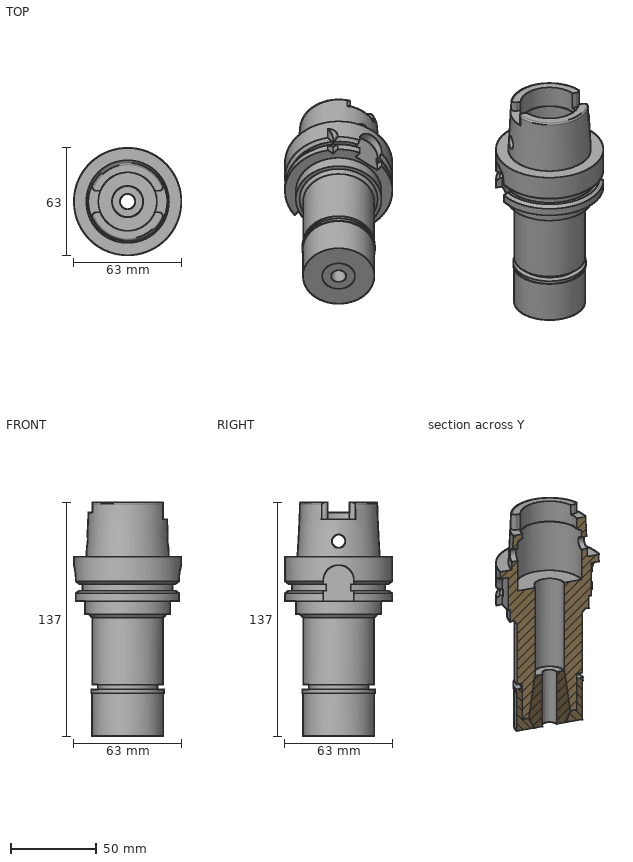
import cadquery as cq
import math


total_height = 137.0
taper_length = 31.9
flange_z = total_height - taper_length
flange_height = 26.0
flange_bottom_z = flange_z - flange_height
neck_height = 7.7
neck_bottom_z = flange_bottom_z - neck_height
body_bottom_z = 30.1
nut_top_z = 27.3
nut_collar_height = 2.0
nose_bottom_z = 6.8

taper_base_radius = 24.2
taper_top_radius = 22.7
rim_round = 1.0
bore_radius = 17.1
undercut_radius = 20.1
undercut_depth = 13.0
undercut_angle = 60.0
bore_floor_drop = 14.2
bore_floor_z = flange_z - bore_floor_drop
passage_radius = 9.0
cross_hole_radius = 3.8
cross_hole_height = 9.0

drive_slot_half_width = 6.3
drive_slot_corner_radius = 2.5
shallow_drive_slot_depth = 6.0
deep_drive_slot_depth = 10.0

flange_radius = 31.5
groove_radius = 27.4
groove_shoulder_radius = 29.3
groove_height = 3.8
groove_chamfer_height = 1.6
lower_rim_height = 6.2
groove_bottom_z = flange_bottom_z + lower_rim_height
groove_top_z = groove_bottom_z + groove_height

flange_slot_drop = 5.0
flange_slot_floor = 26.5
left_slot_width = 16.2
right_slot_width = 18.0
notch_floor = 20.3
notch_wall_y = 20.0

neck_radius = 25.1
neck_cone_radius = 22.9
body_radius = 20.8
nose_radius = 17.5

nut_radius = 21.0
nut_collar_radius = 21.4

collet_top_z = 34.0
collet_large_radius = 13.0
collet_seat_angle = 8.0
collet_face_radius = 9.6
collet_bore_radius = 4.4
collet_top_radius = collet_large_radius - (collet_top_z - nose_bottom_z) * math.tan(
    math.radians(collet_seat_angle)
)


def revolve_z(profile):
    """Turn a closed (radius, Z) profile about the Z axis."""
    return profile.close().revolve(360, (0, 0, 0), (0, 1, 0))


def holder_outside():
    """Taper with a rounded rim, grooved flange, neck with a 45 degree cone, body and nose."""
    neck_cone_height = neck_cone_radius - body_radius
    rim_arc_shift = rim_round * (1 - math.sqrt(0.5))
    return revolve_z(
        cq.Workplane("XZ")
        .moveTo(0, total_height)
        .lineTo(taper_top_radius - rim_round, total_height)
        .threePointArc(
            (taper_top_radius - rim_arc_shift, total_height - rim_arc_shift),
            (taper_top_radius, total_height - rim_round),
        )
        .lineTo(taper_base_radius, flange_z)
        .lineTo(flange_radius, flange_z)
        .lineTo(flange_radius, groove_top_z + groove_chamfer_height)
        .lineTo(groove_shoulder_radius, groove_top_z)
        .lineTo(groove_radius, groove_top_z)
        .lineTo(groove_radius, groove_bottom_z)
        .lineTo(groove_shoulder_radius, groove_bottom_z)
        .lineTo(flange_radius, groove_bottom_z - groove_chamfer_height)
        .lineTo(flange_radius, flange_bottom_z)
        .lineTo(neck_radius, flange_bottom_z)
        .lineTo(neck_radius, neck_bottom_z)
        .lineTo(neck_cone_radius, neck_bottom_z)
        .lineTo(body_radius, neck_bottom_z - neck_cone_height)
        .lineTo(body_radius, body_bottom_z)
        .lineTo(nose_radius, body_bottom_z)
        .lineTo(nose_radius, nose_bottom_z)
        .lineTo(0, nose_bottom_z)
    )


def holder_cavity():
    """Undercut clamping bore, coolant passage and conical collet seat."""
    undercut_top_z = total_height - undercut_depth
    undercut_run = (undercut_radius - bore_radius) / math.tan(math.radians(undercut_angle))
    return revolve_z(
        cq.Workplane("XZ")
        .moveTo(0, total_height)
        .lineTo(bore_radius, total_height)
        .lineTo(bore_radius, undercut_top_z)
        .lineTo(undercut_radius, undercut_top_z - undercut_run)
        .lineTo(undercut_radius, bore_floor_z)
        .lineTo(passage_radius, bore_floor_z)
        .lineTo(passage_radius, collet_top_z)
        .lineTo(collet_top_radius, collet_top_z)
        .lineTo(collet_large_radius, nose_bottom_z)
        .lineTo(0, nose_bottom_z)
    )


def drive_slot(side, depth):
    """Slot through the rim on the side +1 or -1 of X; its mouth rounds out into the taper."""
    arc_center_y = drive_slot_half_width + drive_slot_corner_radius
    arc_center_reach = taper_top_radius - drive_slot_corner_radius
    arc_center_x = math.sqrt(arc_center_reach**2 - arc_center_y**2)
    end_angle = math.atan2(arc_center_y, arc_center_x)
    middle_angle = (end_angle - math.pi / 2) / 2

    def arc_point(angle):
        return (
            arc_center_x + drive_slot_corner_radius * math.cos(angle),
            arc_center_y + drive_slot_corner_radius * math.sin(angle),
        )

    def on_side(x, y, mirror=1):
        return (side * x, mirror * y)

    arc_middle = arc_point(middle_angle)
    arc_end = arc_point(end_angle)
    mouth = (flange_radius * math.cos(end_angle), flange_radius * math.sin(end_angle))
    return (
        cq.Workplane("XY", origin=(0, 0, total_height - depth))
        .moveTo(*on_side(0, drive_slot_half_width))
        .lineTo(*on_side(arc_center_x, drive_slot_half_width))
        .threePointArc(on_side(*arc_middle), on_side(*arc_end))
        .lineTo(*on_side(*mouth))
        .lineTo(*on_side(*mouth, mirror=-1))
        .lineTo(*on_side(*arc_end, mirror=-1))
        .threePointArc(
            on_side(*arc_middle, mirror=-1),
            on_side(arc_center_x, drive_slot_half_width, mirror=-1),
        )
        .lineTo(*on_side(0, drive_slot_half_width, mirror=-1))
        .close()
        .extrude(depth)
    )


def flange_slot(side, floor, width, center_y=0.0):
    """Round-topped slot cut along X into the flange, open at the flange bottom."""
    radius = width / 2
    crown_z = flange_z - flange_slot_drop
    arc_center_z = crown_z - radius
    return (
        cq.Workplane("YZ", origin=(side * floor, 0, 0))
        .moveTo(center_y - radius, flange_bottom_z)
        .lineTo(center_y - radius, arc_center_z)
        .threePointArc((center_y, crown_z), (center_y + radius, arc_center_z))
        .lineTo(center_y + radius, flange_bottom_z)
        .close()
        .extrude(side * flange_radius)
    )


def make_holder():
    """Turned body with its cavity, drive slots, cross hole, flange slots and index notch."""
    cross_hole = (
        cq.Workplane("YZ")
        .center(0, flange_z + cross_hole_height)
        .circle(cross_hole_radius)
        .extrude(flange_radius, both=True)
    )
    notch_center_y = notch_wall_y + left_slot_width / 2
    return (
        holder_outside()
        .cut(holder_cavity())
        .cut(drive_slot(-1, shallow_drive_slot_depth))
        .cut(drive_slot(1, deep_drive_slot_depth))
        .cut(cross_hole)
        .cut(flange_slot(-1, flange_slot_floor, left_slot_width))
        .cut(flange_slot(1, flange_slot_floor, right_slot_width))
        .cut(flange_slot(-1, notch_floor, left_slot_width, notch_center_y))
    )


def make_nut():
    """Sleeve around the holder nose with a conical mouth that holds the collet."""
    collar_bottom_z = nut_top_z - nut_collar_height
    return revolve_z(
        cq.Workplane("XZ")
        .moveTo(collet_face_radius, 0)
        .lineTo(nut_radius, 0)
        .lineTo(nut_radius, collar_bottom_z)
        .lineTo(nut_collar_radius, collar_bottom_z)
        .lineTo(nut_collar_radius, nut_top_z)
        .lineTo(nose_radius, nut_top_z)
        .lineTo(nose_radius, nose_bottom_z)
        .lineTo(collet_large_radius, nose_bottom_z)
    )


def make_collet():
    """Double-coned clamping sleeve between the holder seat and the nut mouth."""
    return revolve_z(
        cq.Workplane("XZ")
        .moveTo(collet_bore_radius, 0)
        .lineTo(collet_face_radius, 0)
        .lineTo(collet_large_radius, nose_bottom_z)
        .lineTo(collet_top_radius, collet_top_z)
        .lineTo(collet_bore_radius, collet_top_z)
    )


holder = make_holder()
nut = make_nut()
collet = make_collet()

result = cq.Compound.makeCompound([holder.val(), nut.val(), collet.val()])